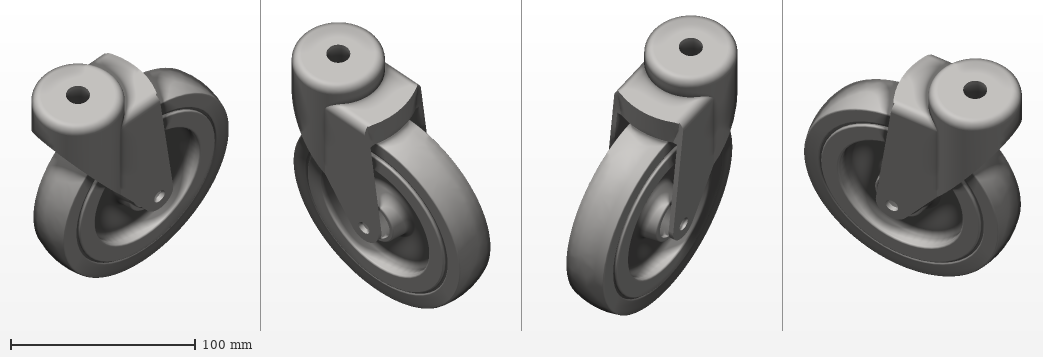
import cadquery as cq
import math


wheel_radius = 62.5
wheel_y = 39.0
tread_edge_radius = 60.5
tread_half_width = 12.5
small_round = 1.0
groove_outer_radius = 102 / 2
groove_inner_radius = 99.0 / 2
groove_depth = 1.0
groove_lip_round = 0.8
rim_half_width = 13.7
recess_radius = 77 / 2
recess_edge_round = 1.1
web_half_width = 3.1
web_round = 3.1
hub_half_width = 15.5
hub_end_radius = 14.8
hub_base_radius = 17.1
bore_radius = 24.0 / 2

overall_height = 157
stem_radius = 50.7 / 2
stem_top = overall_height - wheel_radius
stem_round = 5.0
stem_hole_diameter = 13.0
stem_cavity_radius = 45.5 / 2
plate_thickness = 3.1
plate_bottom = 65.3
block_top = 82.0
block_round = 5.3
block_back_radius = 44.5
leg_outer_x = 23.0
leg_inner_x = 20.0
leg_end_radius = 10.0
axle_hole_diameter = 7.8
stem_front_bottom = 75.0


def wheel_half_points():
    """Outline corners (x, radius) of one wheel face, from hub bore to tread edge."""
    groove_floor = tread_half_width - groove_depth
    return [
        (hub_half_width, bore_radius),
        (hub_half_width, hub_end_radius),
        (web_half_width, hub_base_radius),
        (web_half_width, recess_radius),
        (rim_half_width, recess_radius),
        (rim_half_width, groove_inner_radius),
        (groove_floor, groove_inner_radius),
        (groove_floor, groove_outer_radius),
        (tread_half_width, groove_outer_radius),
        (tread_half_width, tread_edge_radius),
    ]


def round_rings(body, offset, radius, size):
    """Round the two circular edges, one on each face, at this offset and radius."""
    def is_ring(edge):
        center = edge.arcCenter()
        return math.isclose(abs(center.x), offset) and math.isclose(edge.radius(), radius)

    rings = [edge for edge in body.edges("%CIRCLE").vals() if is_ring(edge)]
    return body.newObject(rings).fillet(size)


def make_wheel():
    right_face = wheel_half_points()
    left_face = [(-x, radius) for x, radius in reversed(right_face)]
    wheel = (
        cq.Workplane("XY")
        .polyline(right_face)
        .threePointArc((0, wheel_radius), left_face[0])
        .polyline(left_face[1:], includeCurrent=True)
        .close()
        .revolve(360, (0, 0, 0), (1, 0, 0))
    )
    rounded_edges = [
        (hub_half_width, hub_end_radius, small_round),
        (web_half_width, hub_base_radius, web_round),
        (web_half_width, recess_radius, web_round),
        (rim_half_width, recess_radius, recess_edge_round),
        (rim_half_width, groove_inner_radius, small_round),
        (tread_half_width, groove_outer_radius, groove_lip_round),
        (tread_half_width, tread_edge_radius, small_round),
    ]
    for offset, radius, size in rounded_edges:
        wheel = round_rings(wheel, offset, radius, size)
    return wheel.translate((0, wheel_y, 0))


def leg_tangent_point(y, z, side):
    """Point where a line from (y, z) touches the round leg end; side is +1 (back) or -1 (front)."""
    from_axle = math.atan2(z, y - wheel_y)
    swing = math.acos(leg_end_radius / math.hypot(y - wheel_y, z))
    angle = from_axle - side * swing
    return wheel_y + leg_end_radius * math.cos(angle), leg_end_radius * math.sin(angle)


def extrude_side_profile(profile, half_width):
    """Extrude an outline in the YZ plane equally to both sides."""
    return profile.extrude(half_width, both=True)


def make_side_outline():
    """Side outline limiting the stem and legs: slanted front, round leg end, leaning back."""
    front_touch = leg_tangent_point(-stem_radius, stem_front_bottom, -1)
    back_touch = leg_tangent_point(wheel_y, block_top, 1)
    profile = (
        cq.Workplane("YZ")
        .moveTo(-stem_radius, stem_top)
        .lineTo(-stem_radius, stem_front_bottom)
        .lineTo(*front_touch)
        .threePointArc((wheel_y, -leg_end_radius), back_touch)
        .lineTo(wheel_y, block_top)
        .lineTo(wheel_y, stem_top)
        .close()
    )
    return extrude_side_profile(profile, stem_radius)


def make_block(bottom, back):
    """Box behind the stem axis with rounded upper side edges."""
    block = (
        cq.Workplane("XY")
        .box(2 * leg_outer_x, back, block_top - bottom, centered=(True, False, False))
        .translate((0, 0, bottom))
    )
    return block.edges("|Y and >Z").fillet(block_round)


def make_cylinder(radius, bottom, top):
    return cq.Workplane("XY").workplane(offset=bottom).circle(radius).extrude(top - bottom)


def make_wheel_slot():
    """Space between the legs below the plate, closed in front by the stem wall."""
    bottom = -leg_end_radius
    height = plate_bottom - bottom
    back = wheel_y + leg_end_radius
    front_part = make_cylinder(stem_cavity_radius, bottom, plate_bottom)
    back_part = cq.Workplane("XY").box(2 * leg_inner_x, back, height, centered=(True, False, False))
    full_width = cq.Workplane("XY").box(2 * leg_inner_x, 2 * back, height, centered=(True, True, False))
    lift = (0, 0, bottom)
    return front_part.intersect(full_width.translate(lift)).union(back_part.translate(lift))


def make_fork():
    stem = make_cylinder(stem_radius, -leg_end_radius, stem_top).faces(">Z").edges().fillet(stem_round)
    legs = make_block(-leg_end_radius, wheel_y + leg_end_radius)
    fork = stem.union(legs).intersect(make_side_outline())

    tail = make_block(plate_bottom, block_back_radius)
    tail = tail.intersect(make_cylinder(block_back_radius, plate_bottom, block_top))
    inside_legs = cq.Workplane("XY").box(2 * leg_inner_x, 2 * block_back_radius, 2 * block_top)
    fork = fork.union(tail.intersect(inside_legs))

    fork = fork.cut(make_wheel_slot())
    cavity_bottom = plate_bottom + plate_thickness
    cavity_top = block_top - plate_thickness
    fork = fork.cut(make_cylinder(stem_cavity_radius, cavity_bottom, cavity_top))
    fork = fork.cut(make_cylinder(stem_hole_diameter / 2, cavity_top, stem_top))

    axle_holes = cq.Workplane("YZ").center(wheel_y, 0).circle(axle_hole_diameter / 2)
    return fork.cut(extrude_side_profile(axle_holes, leg_outer_x))


wheel = make_wheel()
fork = make_fork()
result = cq.Compound.makeCompound([fork.solids().val(), wheel.solids().val()])